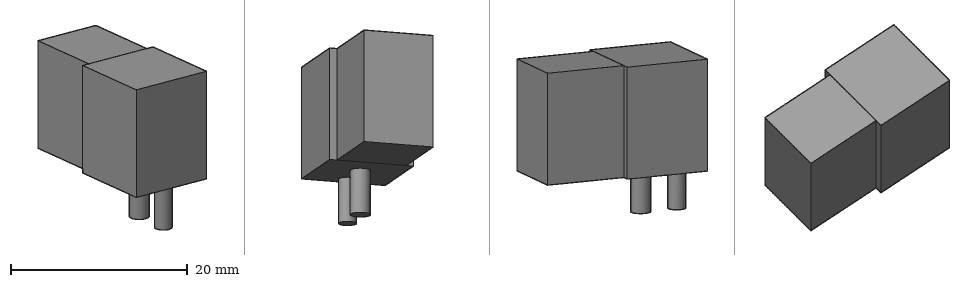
import cadquery as cq

total_length = 19.5
total_height = 18.1

rear_size = 10.0
front_width = 8.25
block_height = 12.97
front_length = total_length - rear_size

pin_length = total_height - block_height
front_pin_diameter = 2.3
rear_pin_diameter = 2.05
front_pin_x = 13.5
rear_pin_x = 17.98


def make_block(start_x, length, width):
    """Block standing on Z = 0, centred on Y = 0, running in +X from start_x."""
    return (
        cq.Workplane("XY")
        .box(length, width, block_height, centered=(False, True, False))
        .translate((start_x, 0, 0))
    )


def make_pin(center_x, diameter):
    """Round pin hanging down from the underside of the rear block."""
    return cq.Workplane("XY").center(center_x, 0).circle(diameter / 2).extrude(-pin_length)


front_block = make_block(0, front_length, front_width)
rear_block = make_block(front_length, rear_size, rear_size)

pin_layout = [
    (front_pin_x, front_pin_diameter),
    (rear_pin_x, rear_pin_diameter),
]
pins = [make_pin(center_x, diameter).val() for center_x, diameter in pin_layout]

result = cq.Compound.makeCompound([front_block.val(), rear_block.val(), *pins])